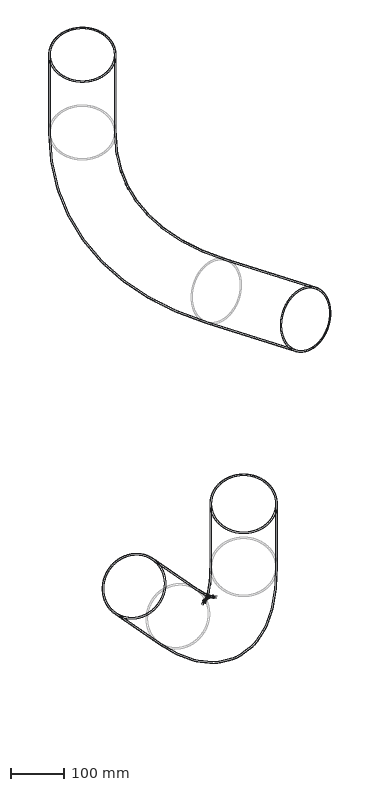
import cadquery as cq
import math

overall_height = 1125.0
outer_diameter = 127.0
inner_diameter = 120.0
straight_length = 253.0
bend_angle = 45.0

outer_radius = outer_diameter / 2
sin_bend = math.sin(math.radians(bend_angle))
cos_bend = math.cos(math.radians(bend_angle))
straight_height = straight_length * (1 + cos_bend)
end_rim_height = outer_radius * sin_bend
bend_radius = (overall_height - straight_height - end_rim_height) / sin_bend


def bend_point(angle):
    """Centreline point (Y, Z) after turning by angle, in degrees, from vertical."""
    turn = math.radians(angle)
    y = bend_radius * (1 - math.cos(turn))
    z = -straight_length - bend_radius * math.sin(turn)
    return (y, z)


bend_end = bend_point(bend_angle)
lower_end = (
    bend_end[0] + straight_length * sin_bend,
    bend_end[1] - straight_length * cos_bend,
)
centreline = (
    cq.Workplane("YZ")
    .moveTo(0, 0)
    .lineTo(0, -straight_length)
    .threePointArc(bend_point(bend_angle / 2), bend_end)
    .lineTo(*lower_end)
)

result = (
    cq.Workplane("XY")
    .circle(outer_radius)
    .circle(inner_diameter / 2)
    .sweep(centreline)
)